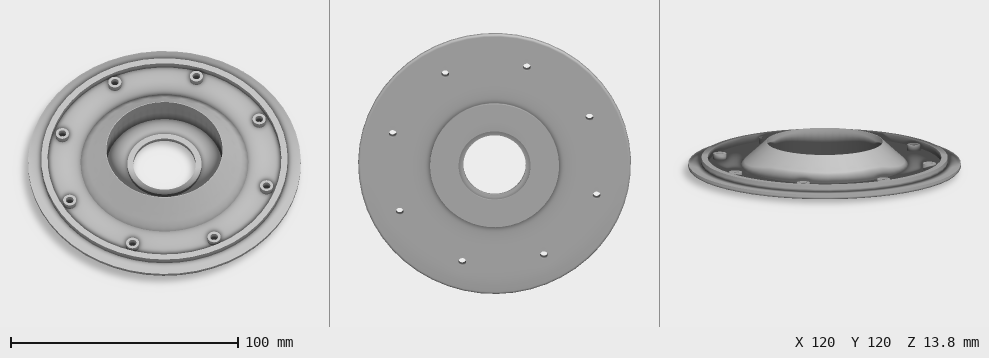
import cadquery as cq

total_height = 13.8
well_floor_z = 0.8
flange_bottom_z = 1.8
plate_top_z = 3.6
flange_top_z = 4.0
rim_top_z = 6.7
boss_top_z = 6.2

flange_diameter = 120
rim_outer_diameter = 108.4
rim_inner_diameter = 102.8
hub_diameter = 56.8
well_diameter = 51.1
cone_top_diameter = 51.6
cone_base_diameter = 73.8
collar_diameter = 32.6
collar_recess_diameter = 31.7
center_hole_diameter = 27.5

flange_fillet_radius = 1.1

collar_top_z = 2.8
collar_lip_thickness = 1.8

boss_count = 8
boss_circle_radius = 47.0
boss_diameter = 5.8
boss_hole_diameter = 3.4


def disc(diameter, bottom_z, top_z):
    """Solid cylinder on the Z axis between two heights."""
    return cq.Workplane("XY").workplane(offset=bottom_z).circle(diameter / 2).extrude(top_z - bottom_z)


def boss_cylinders(diameter, bottom_z, top_z):
    """Equally spaced cylinders on the boss circle."""
    return (
        cq.Workplane("XY")
        .workplane(offset=bottom_z)
        .polarArray(boss_circle_radius, 0, 360, boss_count)
        .circle(diameter / 2)
        .extrude(top_z - bottom_z)
    )


def cone():
    """Raised truncated cone standing on the plate."""
    top_radius = cone_top_diameter / 2
    base_radius = cone_base_diameter / 2
    return (
        cq.Workplane("XZ")
        .moveTo(0, plate_top_z)
        .lineTo(base_radius, plate_top_z)
        .lineTo(top_radius, total_height)
        .lineTo(0, total_height)
        .close()
        .revolve(360, (0, 0, 0), (0, 1, 0))
    )


body = disc(flange_diameter, flange_bottom_z, flange_top_z)
body = body.faces("<Z").edges().fillet(flange_fillet_radius)
body = body.union(disc(rim_outer_diameter, flange_bottom_z, rim_top_z))
body = body.cut(disc(rim_inner_diameter, plate_top_z, rim_top_z))

body = body.union(disc(hub_diameter, 0, plate_top_z)).union(cone())
body = body.cut(disc(well_diameter, well_floor_z, total_height))

body = body.union(disc(collar_diameter, 0, collar_top_z))
body = body.cut(disc(collar_recess_diameter, 0, collar_top_z - collar_lip_thickness))
body = body.cut(disc(center_hole_diameter, 0, collar_top_z))

body = body.union(boss_cylinders(boss_diameter, flange_bottom_z, boss_top_z))
result = body.cut(boss_cylinders(boss_hole_diameter, flange_bottom_z, boss_top_z))